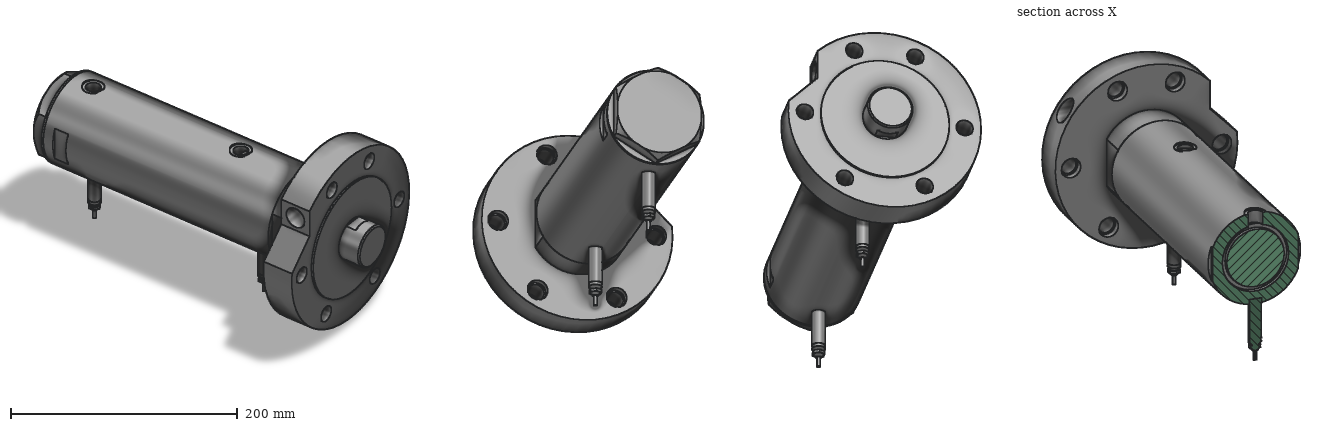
import cadquery as cq
import math


outer_height = 184.5

barrel_diameter = 88.0
bore_diameter = 62.5
spigot_diameter = 78.5
rod_diameter = 40.5
wrench_width = 76.0
hexagon_sides = 6

cap_hex_length = 13.0
cap_collar_length = 2.0
barrel_start = cap_hex_length + cap_collar_length
barrel_end = 262.0
flange_start = 289.0
flange_thickness = 31.0
flange_end = flange_start + flange_thickness
pilot_thickness = 2.0
pilot_end = flange_end + pilot_thickness
nose_end = 344.3

rear_port_x = 37.2
front_port_x = 199.5
port_diameter = 13.8
port_seat_diameter = 20.0
port_seat_depth = 1.5

cap_chamfer = 5.5
cap_spigot_end = 25.8
stop_diameter = 55.0
piston_start = 41.0

barrel_flat_start = 25.5
barrel_flat_length = 14.5
barrel_flat_width = 82.0

spigot_start = front_port_x
flange_diameter = 174.0
pilot_diameter = 115.7
notch_y = -60.5
notch_corner_z = 35.5
bolt_circle_diameter = 144.0
bolt_hole_diameter = 15.0
bolt_seat_diameter = 18.2
bolt_seat_depth = 7.0
bolt_angles = [0, 67.5, 112.5, 180, 240, 300]
cross_hole_diameter = 20.0
cross_hole_z = 49.0

piston_length = 41.3
piston_end = piston_start + piston_length
nose_flat_width = 36.0
nose_flat_end = 332.2
nose_chamfer = 1.5

sensor_positions = [38.5, 225.2]
sensor_diameter = 12.0
sensor_top = -spigot_diameter / 2
sensor_body_bottom = -77.0
sensor_neck_diameter = 11.5
sensor_neck_bottom = -80.2
taper_bottom = -83.3
taper_end_diameter = 7.0
nut_bottom = -86.0
nut_corner_diameter = 11.5
cable_cone_bottom = -88.5
cable_cone_start_diameter = 9.0
cable_cone_end_diameter = 4.8
cable_diameter = 3.0
cable_bottom = flange_diameter / 2 - outer_height


def cylinder_along_x(diameter, start, end):
    """Solid cylinder on the X axis between two stations."""
    return cq.Workplane("YZ").workplane(offset=start).circle(diameter / 2).extrude(end - start)


def cylinder_along_z(diameter, x, bottom, top):
    """Solid vertical cylinder at station x."""
    base = cq.Workplane("XY").workplane(offset=bottom).center(x, 0)
    return base.circle(diameter / 2).extrude(top - bottom)


def cone_along_z(bottom_diameter, top_diameter, x, bottom, top):
    """Solid vertical cone frustum at station x."""
    base_point = cq.Vector(x, 0, bottom)
    return cq.Workplane(cq.Solid.makeCone(bottom_diameter / 2, top_diameter / 2, top - bottom, base_point))


def slab(start, end, y_size, z_size):
    """Box centred on the X axis between two stations."""
    centered_box = cq.Workplane("XY").box(end - start, y_size, z_size)
    return centered_box.translate(((start + end) / 2, 0, 0))


def make_end_cap():
    """Hexagonal cap with a collar, a spigot in the bore and an end stop."""
    corner_diameter = wrench_width / math.cos(math.pi / hexagon_sides)
    hexagon = cq.Workplane("YZ").polygon(hexagon_sides, corner_diameter).extrude(cap_hex_length)
    hexagon = hexagon.rotate((0, 0, 0), (1, 0, 0), 90)
    chamfered_blank = cylinder_along_x(corner_diameter, 0, cap_hex_length).faces("<X").chamfer(cap_chamfer)
    collar = cylinder_along_x(barrel_diameter, cap_hex_length, barrel_start)
    spigot = cylinder_along_x(bore_diameter, barrel_start, cap_spigot_end)
    stop = cylinder_along_x(stop_diameter, cap_spigot_end, piston_start)
    return hexagon.intersect(chamfered_blank).union(collar).union(spigot).union(stop)


def make_barrel():
    """Tube with two oil ports, a pair of spanner flats and two sensor holes."""
    barrel = cylinder_along_x(barrel_diameter, barrel_start, barrel_end)
    barrel = barrel.cut(cylinder_along_x(bore_diameter, barrel_start, spigot_start))
    barrel = barrel.cut(cylinder_along_x(spigot_diameter, spigot_start, barrel_end))

    flat_end = barrel_flat_start + barrel_flat_length
    band = slab(barrel_flat_start, flat_end, barrel_diameter, barrel_diameter)
    kept = slab(barrel_flat_start, flat_end, barrel_flat_width, barrel_diameter)
    barrel = barrel.cut(band.cut(kept))

    barrel_top = barrel_diameter / 2
    port_seat_z = barrel_top - port_seat_depth
    for port_x in (rear_port_x, front_port_x):
        barrel = barrel.cut(cylinder_along_z(port_diameter, port_x, 0, barrel_top))
        barrel = barrel.cut(cylinder_along_z(port_seat_diameter, port_x, port_seat_z, barrel_top))

    for sensor_x in sensor_positions:
        barrel = barrel.cut(cylinder_along_z(sensor_diameter, sensor_x, -barrel_top, sensor_top))
    return barrel


def make_flange():
    """Notched round flange with counterbored bolt holes and a cross hole."""
    flange = cylinder_along_x(flange_diameter, flange_start, flange_end)
    reach = flange_diameter / 2
    notch_drop = notch_y + reach
    notch = (
        cq.Workplane("YZ")
        .workplane(offset=flange_start)
        .moveTo(notch_y, reach)
        .lineTo(notch_y, notch_corner_z)
        .lineTo(-reach, notch_corner_z - notch_drop)
        .lineTo(-reach, reach)
        .close()
        .extrude(flange_thickness)
    )
    flange = flange.cut(notch)

    bolt_radius = bolt_circle_diameter / 2
    for angle in bolt_angles:
        bolt_y = bolt_radius * math.cos(math.radians(angle))
        bolt_z = bolt_radius * math.sin(math.radians(angle))
        hole = cylinder_along_x(bolt_hole_diameter, flange_start, flange_end)
        seat = cylinder_along_x(bolt_seat_diameter, flange_start, flange_start + bolt_seat_depth)
        flange = flange.cut(hole.union(seat).translate((0, bolt_y, bolt_z)))

    cross_hole = (
        cq.Workplane("XZ")
        .center(flange_start + flange_thickness / 2, cross_hole_z)
        .circle(cross_hole_diameter / 2)
        .extrude(flange_diameter / 2, both=True)
    )
    return flange.cut(cross_hole)


def make_head():
    """Rod-side head: spigot in the barrel, flatted neck, flange and pilot."""
    spigot = cylinder_along_x(spigot_diameter, spigot_start, barrel_end)
    neck = cylinder_along_x(barrel_diameter, barrel_end, flange_start).intersect(
        slab(barrel_end, flange_start, wrench_width, barrel_diameter)
    )
    pilot = cylinder_along_x(pilot_diameter, flange_end, pilot_end)
    head = make_flange().union(neck).union(spigot).union(pilot)
    return head.cut(cylinder_along_x(rod_diameter, spigot_start, pilot_end))


def make_piston():
    """Plain disc that fills the bore in front of the end stop."""
    return cylinder_along_x(bore_diameter, piston_start, piston_end)


def make_rod():
    """Rod from the piston through the head, ending in a nose with two spanner flats."""
    rod = cylinder_along_x(rod_diameter, piston_end, nose_end).faces(">X").chamfer(nose_chamfer)
    band = slab(pilot_end, nose_flat_end, rod_diameter, rod_diameter)
    kept = slab(pilot_end, nose_flat_end, rod_diameter, nose_flat_width)
    return rod.cut(band.cut(kept))


def make_sensor(x):
    """Proximity sensor: round body, neck, taper, hexagonal cable nut and cable stub."""
    body = cylinder_along_z(sensor_diameter, x, sensor_body_bottom, sensor_top)
    neck = cylinder_along_z(sensor_neck_diameter, x, sensor_neck_bottom, sensor_body_bottom)
    taper = cone_along_z(taper_end_diameter, sensor_diameter, x, taper_bottom, sensor_neck_bottom)
    nut = (
        cq.Workplane("XY")
        .workplane(offset=nut_bottom)
        .center(x, 0)
        .polygon(hexagon_sides, nut_corner_diameter)
        .extrude(taper_bottom - nut_bottom)
    )
    cone = cone_along_z(cable_cone_end_diameter, cable_cone_start_diameter, x, cable_cone_bottom, nut_bottom)
    cable = cylinder_along_z(cable_diameter, x, cable_bottom, cable_cone_bottom)
    return body.union(neck).union(taper).union(nut).union(cone).union(cable)


end_cap = make_end_cap()
barrel = make_barrel()
head = make_head()
piston = make_piston()
rod = make_rod()
sensors = [make_sensor(x) for x in sensor_positions]

result = cq.Compound.makeCompound(
    [
        end_cap.val(),
        barrel.val(),
        head.val(),
        piston.val(),
        rod.val(),
        *[sensor.val() for sensor in sensors],
    ]
)